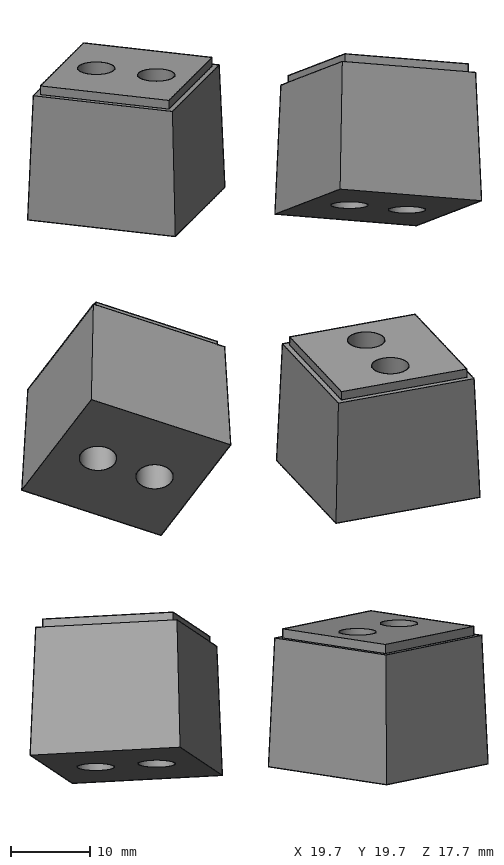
import cadquery as cq

base_side = 19.71
shoulder_side = 18.57
total_height = 17.7

pad_side = 17.15
pad_height = 1.16
body_height = total_height - pad_height

hole_diameter = 4.71
hole_spacing = 8.0


def make_body():
    """Square frustum standing on Z = 0, narrowing to the shoulder."""
    return (
        cq.Workplane("XY")
        .rect(base_side, base_side)
        .workplane(offset=body_height)
        .rect(shoulder_side, shoulder_side)
        .loft(ruled=True)
    )


def make_pad():
    """Straight-sided pad, inset from the shoulder edge."""
    return (
        cq.Workplane("XY")
        .workplane(offset=body_height)
        .rect(pad_side, pad_side)
        .extrude(pad_height)
    )


def make_holes():
    """Two cylinders through the full height, side by side along X."""
    return (
        cq.Workplane("XY")
        .rarray(hole_spacing, 0.2, 2, 1)
        .circle(hole_diameter / 2)
        .extrude(total_height)
    )


result = make_body().union(make_pad()).cut(make_holes())